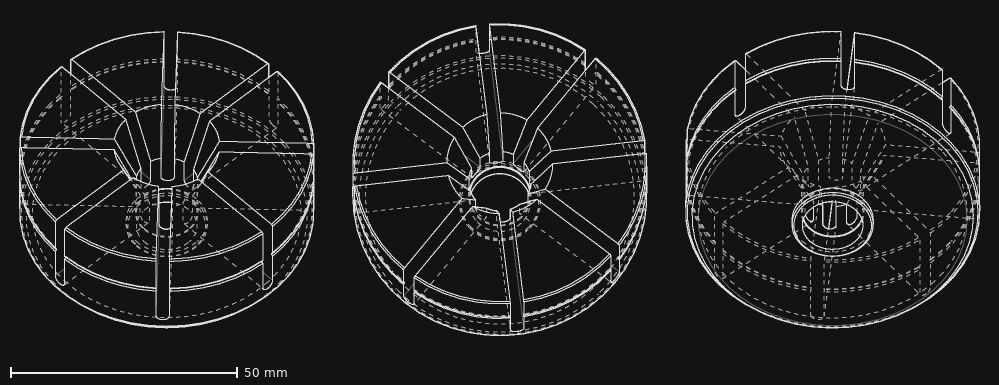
import cadquery as cq

outer_radius = 32.5
total_height = 28.5
edge_chamfer = 0.4

spigot_radius = 9.0
spigot_height = 1.95

flange_radius = 31.1
flange_thickness = 2.7
flange_rim_radius = flange_thickness / 2
flange_mid_z = spigot_height + flange_rim_radius
body_bottom_z = spigot_height + flange_thickness

groove_mid_z = 18.0
groove_floor_width = 0.2
groove_depth = edge_chamfer

mouth_radius = 11.7
mouth_depth = 13.0
bore_radius = 6.9
lower_bore_radius = 6.7

slot_count = 8
slot_width = 3.0
slot_floor_z = 7.5
slot_floor_radius = slot_width / 2
slot_pitch_angle = 360 / slot_count


def make_outer_body():
    """Revolve the outer half profile, from the spigot up to the top face."""
    groove_floor_low = groove_mid_z - groove_floor_width / 2
    groove_floor_high = groove_mid_z + groove_floor_width / 2
    flange_flat_radius = flange_radius - flange_rim_radius
    chamfered_radius = outer_radius - edge_chamfer
    profile = (
        cq.Workplane("XZ")
        .moveTo(0, 0)
        .lineTo(spigot_radius - edge_chamfer, 0)
        .lineTo(spigot_radius, edge_chamfer)
        .lineTo(spigot_radius, spigot_height)
        .lineTo(flange_flat_radius, spigot_height)
        .threePointArc((flange_radius, flange_mid_z), (flange_flat_radius, body_bottom_z))
        .lineTo(chamfered_radius, body_bottom_z)
        .lineTo(outer_radius, body_bottom_z + edge_chamfer)
        .lineTo(outer_radius, groove_floor_low - groove_depth)
        .lineTo(outer_radius - groove_depth, groove_floor_low)
        .lineTo(outer_radius - groove_depth, groove_floor_high)
        .lineTo(outer_radius, groove_floor_high + groove_depth)
        .lineTo(outer_radius, total_height - edge_chamfer)
        .lineTo(chamfered_radius, total_height)
        .lineTo(0, total_height)
        .close()
    )
    return profile.revolve(360, (0, 0, 0), (0, 1, 0))


def make_opening():
    """Revolve the half profile of the central through opening."""
    profile = (
        cq.Workplane("XZ")
        .moveTo(0, 0)
        .lineTo(lower_bore_radius, 0)
        .lineTo(lower_bore_radius, body_bottom_z)
        .lineTo(bore_radius, body_bottom_z)
        .lineTo(bore_radius, total_height - mouth_depth)
        .lineTo(mouth_radius, total_height)
        .lineTo(0, total_height)
        .close()
    )
    return profile.revolve(360, (0, 0, 0), (0, 1, 0))


def make_slot(angle):
    """Make one round-floored slot running across the full diameter at an angle from X."""
    floor_centre_z = slot_floor_z + slot_floor_radius
    half_width = slot_width / 2
    return (
        cq.Workplane("YZ")
        .moveTo(-half_width, total_height)
        .lineTo(-half_width, floor_centre_z)
        .threePointArc((0, slot_floor_z), (half_width, floor_centre_z))
        .lineTo(half_width, total_height)
        .close()
        .extrude(outer_radius, both=True)
        .rotate((0, 0, 0), (0, 0, 1), angle)
    )


result = make_outer_body().cut(make_opening())
for index in range(slot_count // 2):
    result = result.cut(make_slot((index + 0.5) * slot_pitch_angle))